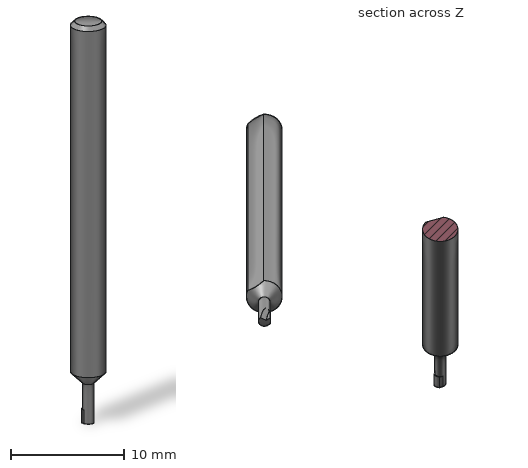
import cadquery as cq

total_length = 38.1
shank_diameter = 3.15
flat_offset = 1.35
top_chamfer = 0.4
neck_diameter = 1.03
neck_length = 3.85

tooth_length = 1.37
tooth_reach = 0.6
heel_x = -0.285
heel_end_x = 0.05
relief_bulge = 0.057
end_relief_angle = 4.0

notch_root_x = -0.2
notch_wall_angle = 27.0
notch_cutter_top = 3.05
notch_runout_angle = 11.0

shank_radius = shank_diameter / 2
neck_radius = neck_diameter / 2
cone_top = neck_length + shank_radius - neck_radius


def make_body():
    """Turned shank, cone and neck, with a flat along the shank."""
    profile = (
        cq.Workplane("XZ")
        .lineTo(neck_radius, 0)
        .lineTo(neck_radius, neck_length)
        .lineTo(shank_radius, cone_top)
        .lineTo(shank_radius, total_length - top_chamfer)
        .lineTo(shank_radius - top_chamfer, total_length)
        .lineTo(0, total_length)
        .close()
    )
    body = profile.revolve(360, (0, 0), (0, 1))
    flat_cutter = cq.Workplane("XY").box(
        2 * shank_diameter, shank_diameter, total_length, centered=(True, False, False)
    )
    return body.cut(flat_cutter.translate((0, flat_offset, 0)))


def make_tooth():
    """Tooth with its cutting edge on -X and a curved relief behind it."""
    return (
        cq.Workplane("XY")
        .moveTo(heel_end_x, 0)
        .lineTo(-tooth_reach, 0)
        .sagittaArc((heel_x, -neck_radius), -relief_bulge)
        .lineTo(heel_end_x, -neck_radius)
        .close()
        .extrude(tooth_length)
    )


def make_notch():
    """Cutter under one leaning plane, kept to the rake side of the cutting edge."""
    size = 2 * neck_length
    wall_side = (
        cq.Workplane("XY")
        .box(size, size, size, centered=(False, True, True))
        .translate((-size, 0, 0))
        .rotate((0, 0, 0), (0, 1, 0), -notch_runout_angle)
        .rotate((0, 0, 0), (0, 0, 1), -notch_wall_angle)
        .translate((notch_root_x, 0, 0))
    )
    rake_side = cq.Workplane("XY").box(
        size, size, 2 * notch_cutter_top, centered=(True, False, True)
    )
    return wall_side.intersect(rake_side)


def make_end_cutter():
    """Sloped cutter that leaves the cutting corner as the lowest point."""
    size = 4 * neck_diameter
    return (
        cq.Workplane("XY")
        .box(size, size, size, centered=(True, True, False))
        .translate((0, 0, -size))
        .rotate((0, 0, 0), (0, 1, 0), -end_relief_angle)
        .rotate((0, 0, 0), (1, 0, 0), -end_relief_angle)
        .translate((-tooth_reach, 0, 0))
    )


result = make_body().union(make_tooth()).cut(make_notch()).cut(make_end_cutter())